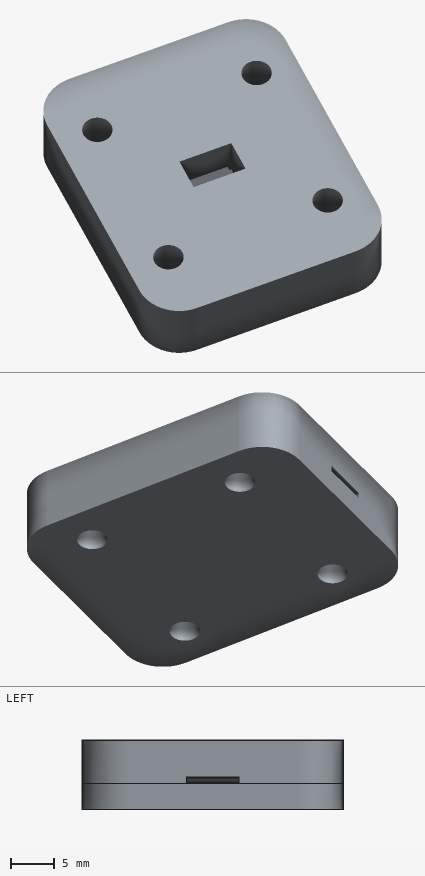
import cadquery as cq
import math

LENGTH = 36.0
WIDTH = 30.0
CORNER_RADIUS = 5.0
BASE_THICKNESS = 3.0
COVER_THICKNESS = 5.0

HOLE_DIAMETER = 3.5
HOLE_SPACING = 20.0

WINDOW_LENGTH = 4.0
WINDOW_WIDTH = 6.5

SLOT_WIDTH = 6.0
SLOT_HEIGHT = 0.75
RUNOUT_LENGTH = 1.05


def drilled_plate(bottom, thickness):
    """Rounded rectangular plate with four screw holes, centred on the Z axis."""
    return (
        cq.Workplane("XY")
        .workplane(offset=bottom)
        .rect(LENGTH, WIDTH)
        .extrude(thickness)
        .edges("|Z")
        .fillet(CORNER_RADIUS)
        .faces(">Z")
        .workplane()
        .rect(HOLE_SPACING, HOLE_SPACING, forConstruction=True)
        .vertices()
        .hole(HOLE_DIAMETER)
    )


def make_window():
    """Rectangular volume cut vertically through the cover."""
    return (
        cq.Workplane("XY")
        .workplane(offset=BASE_THICKNESS)
        .rect(WINDOW_LENGTH, WINDOW_WIDTH)
        .extrude(COVER_THICKNESS)
    )


def make_slot():
    """Flat slot volume whose ceiling curves down to the underside at its inner end."""
    floor = BASE_THICKNESS
    ceiling = floor + SLOT_HEIGHT
    mouth_x = -LENGTH / 2
    runout_start = WINDOW_LENGTH / 2
    runout_end = runout_start + RUNOUT_LENGTH

    arc_angle = 2 * math.atan2(SLOT_HEIGHT, RUNOUT_LENGTH)
    arc_radius = RUNOUT_LENGTH / 2 / math.sin(arc_angle)
    half_arc_run = arc_radius * math.sin(arc_angle / 2)
    half_arc_drop = arc_radius * (1 - math.cos(arc_angle / 2))
    s_middle = (runout_start + RUNOUT_LENGTH / 2, floor + SLOT_HEIGHT / 2)

    return (
        cq.Workplane("XZ")
        .moveTo(mouth_x, floor)
        .lineTo(mouth_x, ceiling)
        .lineTo(runout_start, ceiling)
        .threePointArc((runout_start + half_arc_run, ceiling - half_arc_drop), s_middle)
        .threePointArc((runout_end - half_arc_run, floor + half_arc_drop), (runout_end, floor))
        .close()
        .extrude(SLOT_WIDTH / 2, both=True)
    )


def make_base():
    """Plain lower plate that closes the slot and the window from below."""
    return drilled_plate(0, BASE_THICKNESS)


def make_cover():
    """Upper plate with a central window and a side slot that opens into it."""
    plate = drilled_plate(BASE_THICKNESS, COVER_THICKNESS)
    return plate.cut(make_window()).cut(make_slot())


base = make_base()
cover = make_cover()
result = cq.Compound.makeCompound([base.val(), cover.val()])